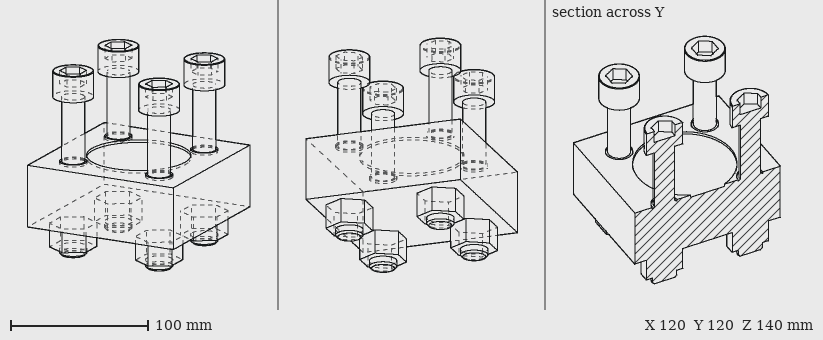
import cadquery as cq
import math

total_height = 140.0
plate_side = 120.0
plate_thickness = 47.0
nut_height = 18.0
tip_length = 5.9
plate_bottom = tip_length + nut_height
plate_top = plate_bottom + plate_thickness

recess_diameter = 76.0
recess_depth = 2.0

bolt_count = 4
bolt_circle_diameter = 100.0
first_bolt_angle = 45
thread_diameter = 20.0
shank_diameter = 17.0
thread_chamfer = (thread_diameter - shank_diameter) / 2
head_diameter = 30.0
head_height = 20.0
head_chamfer = 0.5
socket_across_flats = 17.0
socket_depth = 10.0
nut_across_flats = head_diameter


def cylinder(diameter, bottom, top):
    return cq.Workplane("XY", origin=(0, 0, bottom)).circle(diameter / 2).extrude(top - bottom)


def hexagon(across_flats, bottom, height):
    """Hexagonal prism with two of its flats facing +X and -X."""
    across_corners = across_flats / math.cos(math.radians(30))
    prism = cq.Workplane("XY", origin=(0, 0, bottom)).polygon(6, across_corners).extrude(height)
    return prism.rotate((0, 0, 0), (0, 0, 1), 30)


def bolt_positions():
    radius = bolt_circle_diameter / 2
    angles = [math.radians(first_bolt_angle + 360 / bolt_count * i) for i in range(bolt_count)]
    return [(radius * math.cos(angle), radius * math.sin(angle), 0) for angle in angles]


def make_plate():
    """Square plate with the round recess and the bolt holes."""
    blank = cq.Workplane("XY", origin=(0, 0, plate_bottom)).rect(plate_side, plate_side)
    plate = blank.extrude(plate_thickness)
    plate = plate.cut(cylinder(recess_diameter, plate_top - recess_depth, plate_top))
    bolt_hole = cylinder(thread_diameter, plate_bottom, plate_top)
    for position in bolt_positions():
        plate = plate.cut(bolt_hole.translate(position))
    return plate


def make_bolt():
    """Bolt with a waisted shank and a hexagon socket in its head, fitted with a nut."""
    thread = cylinder(thread_diameter, 0, plate_top).faces("<Z or >Z").chamfer(thread_chamfer)

    head_bottom = total_height - head_height
    shank = cylinder(shank_diameter, plate_top, head_bottom)

    head = cylinder(head_diameter, head_bottom, total_height).faces(">Z").chamfer(head_chamfer)
    head = head.cut(hexagon(socket_across_flats, total_height - socket_depth, socket_depth))

    nut = hexagon(nut_across_flats, tip_length, nut_height)
    return thread.union(shank).union(head).union(nut)


result = make_plate()
bolt = make_bolt()
for position in bolt_positions():
    result = result.union(bolt.translate(position))